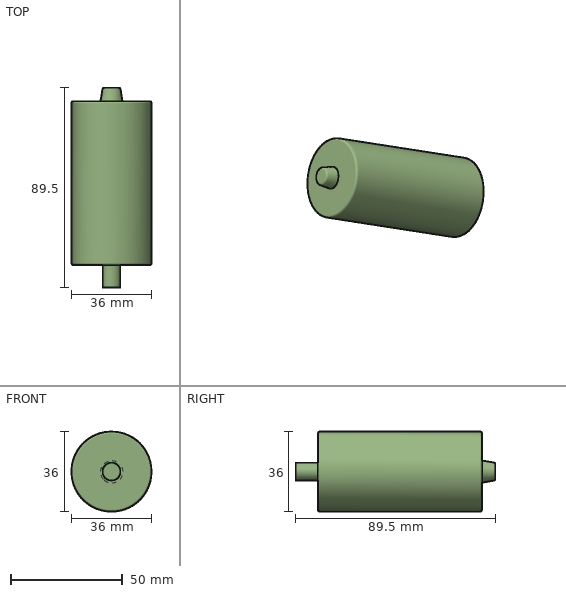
import cadquery as cq

housing_diameter = 36.0
housing_length = 73.5
housing_edge_radius = 1.0

boss_base_diameter = 10.0
boss_end_diameter = 8.0
boss_length = 6.0
boss_edge_radius = 1.0

pin_diameter = 8.0
pin_length = 10.0


def rear_facing_plane(y):
    """Plane at the given Y whose normal points along +Y."""
    return cq.Plane(origin=(0, y, 0), xDir=(1, 0, 0), normal=(0, 1, 0))


def make_housing():
    """Can with rounded rims, with the tapered boss fused to its rear face."""
    can = (
        cq.Workplane(rear_facing_plane(0))
        .circle(housing_diameter / 2)
        .extrude(housing_length)
        .edges()
        .fillet(housing_edge_radius)
    )
    cone = cq.Solid.makeCone(
        boss_base_diameter / 2,
        boss_end_diameter / 2,
        boss_length,
        pnt=cq.Vector(0, housing_length, 0),
        dir=cq.Vector(0, 1, 0),
    )
    boss = cq.Workplane(cone).edges(">Y").fillet(boss_edge_radius)
    return can.union(boss)


def make_pin():
    """Pin that ends flush against the front face of the housing."""
    return (
        cq.Workplane(rear_facing_plane(-pin_length))
        .circle(pin_diameter / 2)
        .extrude(pin_length)
    )


housing = make_housing()
pin = make_pin()

result = cq.Compound.makeCompound([housing.val(), pin.val()])